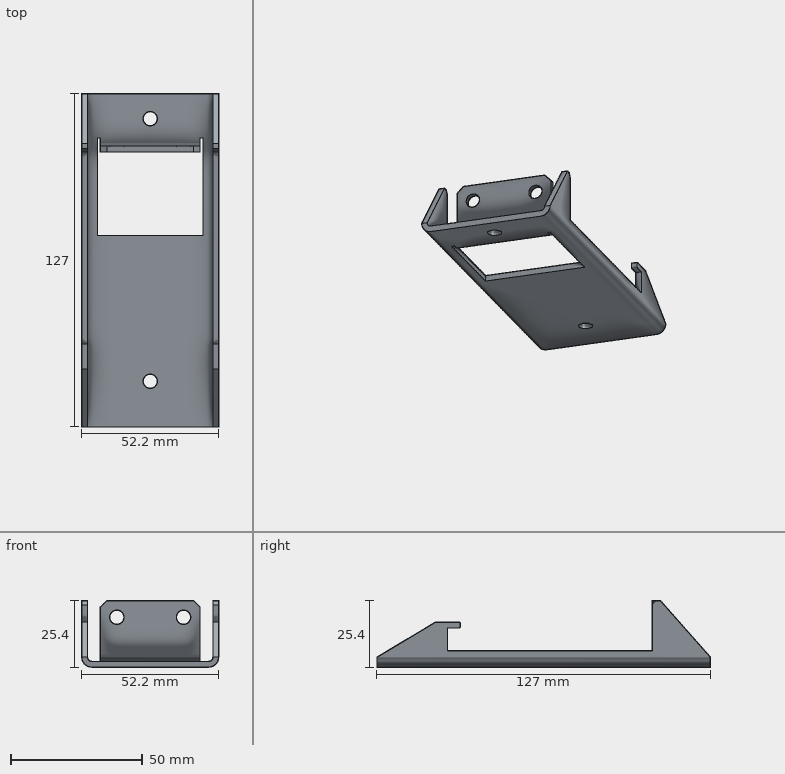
import cadquery as cq

thickness = 2.286
inner_bend_radius = 1.575
outer_bend_radius = inner_bend_radius + thickness

width = 52.2
length = 127.0
height = 25.4
rear_y = length / 2
front_y = -length / 2

rail_height = 6.35
rear_post_depth = 22.225
rear_post_flat = 3.175
rear_post_corner_drop = 1.6
rear_post_corner_run = 1.27
hook_height = 17.2
hook_lip = 2.3
hook_nose_depth = 31.75
hook_throat_depth = 26.924
hook_slope_depth = 22.225
hook_nose_radius = 0.6

window_width = 40.132
window_rear_offset = 16.9
window_front_offset = 53.975

tab_width = 38.1
tab_face_y = rear_y - rear_post_depth
tab_chamfer = 2.54

hole_diameter = 5.33
tab_hole_spacing = 25.4
tab_hole_height = 19.05
rear_hole_offset = 9.525
front_hole_offset = 17.475


def make_channel():
    """U-shaped channel with rounded bends, running along Y."""
    outer = (
        cq.Workplane("XY")
        .box(width, length, height, centered=(True, True, False))
        .edges("|Y and <Z")
        .fillet(outer_bend_radius)
    )
    inner = (
        cq.Workplane("XY", origin=(0, 0, thickness))
        .box(width - 2 * thickness, length, height, centered=(True, True, False))
        .edges("|Y and <Z")
        .fillet(inner_bend_radius)
    )
    return outer.cut(inner)


def make_wall_profile():
    """Side outline of the walls in the YZ plane, extruded over the full width."""
    post_y = rear_y - rear_post_depth
    throat_y = front_y + hook_throat_depth
    nose_y = front_y + hook_nose_depth
    lip_bottom = hook_height - hook_lip
    outline = (
        cq.Workplane("YZ", origin=(-width / 2, 0, 0))
        .moveTo(front_y, 0)
        .lineTo(rear_y, 0)
        .lineTo(rear_y, outer_bend_radius)
        .lineTo(post_y + rear_post_flat, height)
        .lineTo(post_y + rear_post_corner_run, height)
        .lineTo(post_y, height - rear_post_corner_drop)
        .lineTo(post_y, rail_height)
        .lineTo(throat_y, rail_height)
        .lineTo(throat_y, lip_bottom)
        .lineTo(nose_y, lip_bottom)
        .lineTo(nose_y, hook_height)
        .lineTo(front_y + hook_slope_depth, hook_height)
        .lineTo(front_y, outer_bend_radius)
        .close()
        .extrude(width)
    )
    nose_edges = cq.selectors.BoxSelector(
        (-width, nose_y - hook_nose_radius, lip_bottom - hook_nose_radius),
        (width, nose_y + hook_nose_radius, hook_height + hook_nose_radius),
    )
    return outline.edges("|X").edges(nose_edges).fillet(hook_nose_radius)


def make_window():
    """Rectangular opening through the floor."""
    window_length = window_front_offset - window_rear_offset
    window_center_y = rear_y - (window_rear_offset + window_front_offset) / 2
    return cq.Workplane("XY", origin=(0, window_center_y, 0)).box(
        window_width, window_length, 2 * thickness
    )


def make_tab():
    """Tab that leaves the rear edge of the window and bends upward."""
    root_y = rear_y - window_rear_offset
    bend_y = tab_face_y + outer_bend_radius
    back_y = tab_face_y + thickness
    bent_strip = (
        cq.Workplane("YZ", origin=(-tab_width / 2, 0, 0))
        .moveTo(root_y, 0)
        .lineTo(bend_y, 0)
        .radiusArc((tab_face_y, outer_bend_radius), outer_bend_radius)
        .lineTo(tab_face_y, height)
        .lineTo(back_y, height)
        .lineTo(back_y, outer_bend_radius)
        .radiusArc((bend_y, thickness), -inner_bend_radius)
        .lineTo(root_y, thickness)
        .close()
        .extrude(tab_width)
    )
    trimmed = bent_strip.edges("|Y and >Z").chamfer(tab_chamfer)
    holes = (
        cq.Workplane("XZ", origin=(0, tab_face_y, tab_hole_height))
        .pushPoints([(side * tab_hole_spacing / 2, 0) for side in (-1, 1)])
        .circle(hole_diameter / 2)
        .extrude(thickness, both=True)
    )
    return trimmed.cut(holes)


def make_floor_holes():
    """Two mounting holes on the floor centerline."""
    return (
        cq.Workplane("XY")
        .pushPoints([(0, rear_y - rear_hole_offset), (0, front_y + front_hole_offset)])
        .circle(hole_diameter / 2)
        .extrude(thickness)
    )


channel = make_channel().intersect(make_wall_profile())
floor_cut = channel.cut(make_window()).cut(make_floor_holes())
result = floor_cut.union(make_tab())